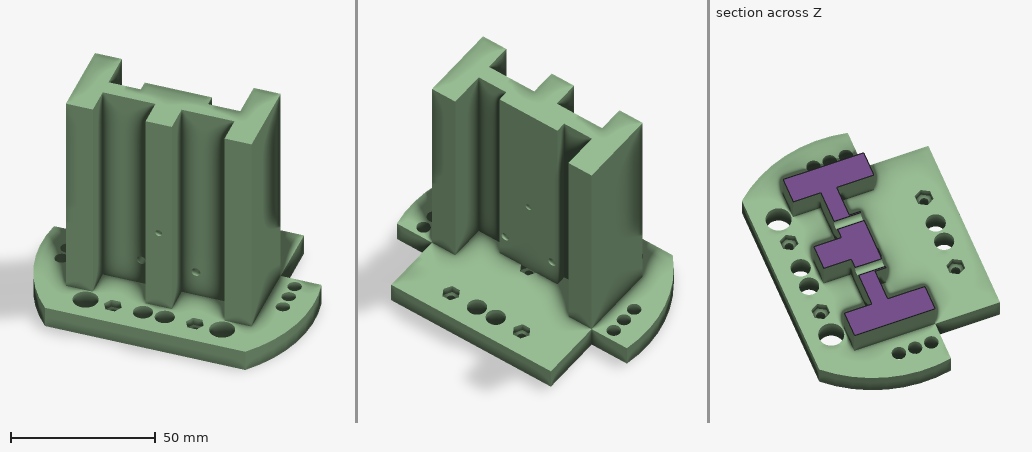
import cadquery as cq
import math

round_radius = 50.0
base_thickness = 8.0
half_depth = 34.0
shoulder_y = 10.0
tail_width = 68.0

column_height = 79.9
column_width = tail_width
column_depth = 30.0
column_front_y = shoulder_y - column_depth
channel_span = 48.2
center_rib_width = 9.6
web_thickness = 6.0
web_front_y = -9.8
web_back_y = web_front_y + web_thickness
pad_width = 24.6
pad_thickness = 4.0

hole_row_y = 25.0
screw_diameter = 3.2
screw_x = 15.0
nut_across_corners = 6.6
nut_depth = 3.0
cable_diameter = 7.0
cable_x = 4.0
large_diameter = 9.0
large_x = 25.0
side_diameter = 5.0
side_x = 40.5
side_pitch = 6.0

rib_hole_diameter = 2.5
rib_hole_height = 32.0
web_hole_diameter = 3.2
web_hole_x = 10.0
web_hole_height = 10.0


def block(width, front_y, back_y, bottom_z, height):
    """Box centered on X = 0 between two Y planes."""
    solid = cq.Workplane("XY").box(width, back_y - front_y, height, centered=(True, False, False))
    return solid.translate((0, front_y, bottom_z))


def make_base():
    shoulder_x = math.sqrt(round_radius**2 - shoulder_y**2)
    front_x = math.sqrt(round_radius**2 - half_depth**2)
    rounded = (
        cq.Workplane("XY")
        .moveTo(-front_x, -half_depth)
        .lineTo(front_x, -half_depth)
        .threePointArc((round_radius, 0), (shoulder_x, shoulder_y))
        .lineTo(-shoulder_x, shoulder_y)
        .threePointArc((-round_radius, 0), (-front_x, -half_depth))
        .close()
        .extrude(base_thickness)
    )
    return rounded.union(block(tail_width, 0, half_depth, 0, base_thickness))


def make_column():
    def upright(width, front_y, back_y):
        return block(width, front_y, back_y, base_thickness, column_height)

    column = upright(column_width, column_front_y, shoulder_y)
    column = column.cut(upright(channel_span, column_front_y, web_front_y))
    column = column.cut(upright(channel_span, web_back_y, shoulder_y))
    center_rib = upright(center_rib_width, column_front_y, web_front_y)
    back_pad = upright(pad_width, web_back_y, web_back_y + pad_thickness)
    return column.union(center_rib).union(back_pad)


def base_holes(points, diameter):
    return cq.Workplane("XY").pushPoints(points).circle(diameter / 2).extrude(base_thickness)


def nut_pockets(points):
    pocket_floor = cq.Workplane("XY", origin=(0, 0, base_thickness - nut_depth))
    return pocket_floor.pushPoints(points).polygon(6, nut_across_corners).extrude(nut_depth)


def column_hole(x, height, diameter):
    axis_start = cq.Workplane("XZ", origin=(x, shoulder_y, base_thickness + height))
    return axis_start.circle(diameter / 2).extrude(column_depth)


sides = (-1, 1)
screw_points = [(sx * screw_x, sy * hole_row_y) for sx in sides for sy in sides] + [(0, 0)]
cable_points = [(sx * cable_x, sy * hole_row_y) for sx in sides for sy in sides]
large_points = [(sx * large_x, -hole_row_y) for sx in sides]
side_points = [(sx * side_x, row * side_pitch) for sx in sides for row in (-1, 0, 1)]

result = make_base().union(make_column())
result = result.cut(base_holes(screw_points, screw_diameter))
result = result.cut(nut_pockets(screw_points))
result = result.cut(base_holes(cable_points, cable_diameter))
result = result.cut(base_holes(large_points, large_diameter))
result = result.cut(base_holes(side_points, side_diameter))
result = result.cut(column_hole(0, rib_hole_height, rib_hole_diameter))
for side in sides:
    result = result.cut(column_hole(side * web_hole_x, web_hole_height, web_hole_diameter))